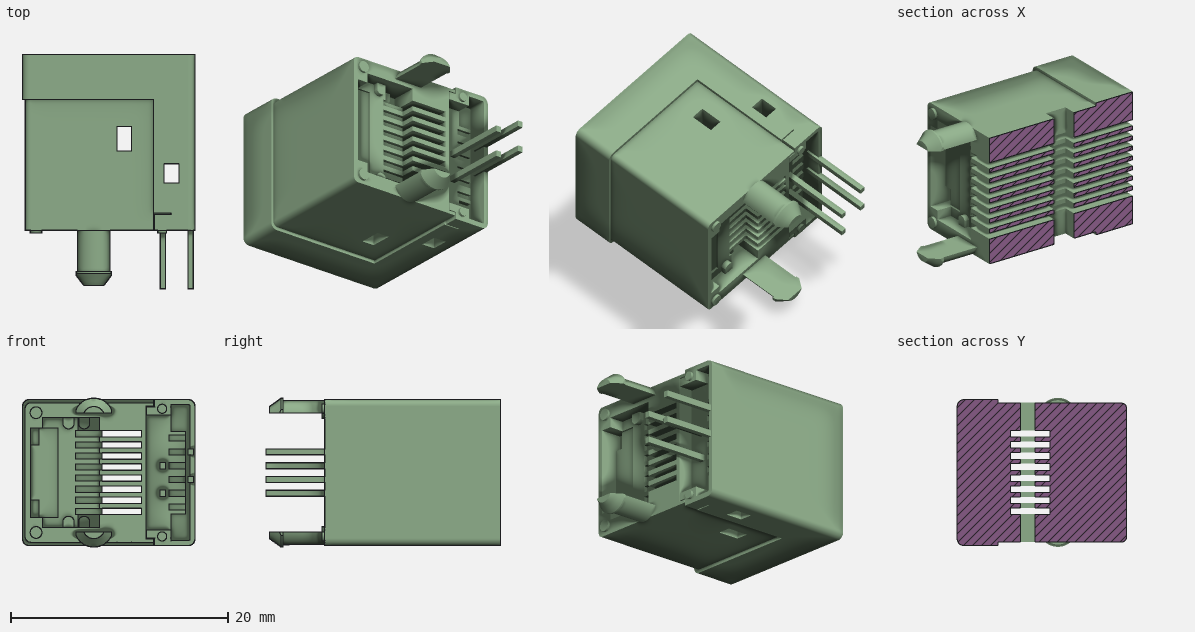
import cadquery as cq


body_width = 15.88
body_thickness = 13.46
body_depth = 16.2
body_corner_radius = 0.635
step_side_inset = 0.25
step_face_inset = 0.32
step_corner_radius = 0.5
collar_start_y = 12.03
step_right_x = 4.13
left_x = -body_width / 2
half_thickness = body_thickness / 2

recess_floor_y = 1.5
side_recess_floor_y = 2.0

slot_height = 0.57

left_recess_min_x = -6.10
left_recess_max_x = -0.83
left_recess_half_z = 5.06
lead_recess_min_x = -7.22
lead_recess_max_x = -4.66
lead_recess_half_z = 4.12
lead_recess_extra = 0.2
corner_pocket_width = 0.81
corner_pocket_height = 1.6
corner_pocket_extra = 0.5

contact_count = 8
contact_pitch = 1.02
contact_min_x = -3.08
contact_max_x = 3.00
contact_through_min_x = -0.60
contact_slot_floor_y = 1.85
contact_top_z = (contact_count - 1) / 2 * contact_pitch + slot_height / 2

end_pocket_min_x = -2.83
end_pocket_floor_y = 2.7
stud_width = 0.98
stud_length = 1.04
stud_height = 0.5
stud_arc_rise = 0.34
outer_stud_x = -3.70
inner_stud_x = -2.26

right_recess_min_x = 3.41
right_recess_half_z = 5.29
side_recess_min_x = 5.72
side_recess_max_x = 7.48
side_recess_half_z = 6.25
side_recess_corner_radius = 0.15
ledge_max_x = 7.08
ledge_half_z = 3.79
ledge_slot_min_x = 5.55
ledge_slot_count = 6
ledge_slot_pitch = 1.27
ledge_slot_floor_y = 1.8

latch_gap = 0.08
latch_shoulder_z = 6.03
latch_slit_y = 1.47
latch_slit_width = 0.12
latch_slit_max_x = 5.75

windows = [(0.78, 2.08, 7.31, 9.55), (5.10, 6.45, 4.37, 6.12)]

buttons = [(-6.69, 5.51, 0.54), (4.91, 5.87, 0.42)]
button_height = 0.25

peg_x = -1.375
peg_center_z = 5.08
peg_flat_z = 5.46
peg_shaft_radius = 1.56
peg_collar_radius = 1.78
peg_tip_radius = 1.0
peg_half_width = 1.63
peg_shaft_length = 3.81
peg_collar_length = 0.18
peg_length = 5.08

pin_width = 0.52
pin_height = 0.57
pin_pitch = 1.27
pin_count = 4
pin_end_y = -5.39
inner_pin_x = 4.98
outer_pin_x = 7.53
inner_pin_root_y = recess_floor_y
outer_pin_root_y = 1.3


def box(x_range, y_range, z_range):
    """Axis-aligned box given as three (min, max) pairs."""
    (x0, x1), (y0, y1), (z0, z1) = x_range, y_range, z_range
    return cq.Workplane("XY").box(x1 - x0, y1 - y0, z1 - z0, centered=False).translate((x0, y0, z0))


def symmetric_box(x_range, y_range, half_z):
    return box(x_range, y_range, (-half_z, half_z))


def cylinder(x, z, radius, y_start, y_end):
    """Cylinder along Y between two Y positions, y_start above y_end."""
    plane = cq.Workplane("XZ", origin=(x, y_start, z))
    return plane.circle(radius).extrude(y_start - y_end)


def both_ends(solid):
    """The solid together with its mirror image across Z = 0."""
    return solid.union(solid.mirror("XY"))


def spread(count, pitch):
    """Positions of count items at a pitch, centred on zero."""
    return [(i - (count - 1) / 2) * pitch for i in range(count)]


def make_housing():
    """Rounded block, relieved in front of the collar on three sides."""
    full = symmetric_box((left_x, -left_x), (0, body_depth), half_thickness)
    full = full.edges("|Y").fillet(body_corner_radius)
    step_left_x = left_x + step_side_inset
    beyond_right = body_width
    stepped = symmetric_box(
        (step_left_x, beyond_right), (0, collar_start_y), half_thickness - step_face_inset
    )
    stepped = stepped.edges("|Y and <X").fillet(step_corner_radius)
    keep = stepped.union(symmetric_box((step_right_x, beyond_right), (0, collar_start_y), half_thickness))
    keep = keep.union(symmetric_box((left_x, beyond_right), (collar_start_y, body_depth), half_thickness))
    return full.intersect(keep)


def cut_left_recess(body):
    """Stepped recess on the -X side, with corner pockets and end pockets."""
    floor = recess_floor_y
    lead_floor = floor + lead_recess_extra
    body = body.cut(symmetric_box((left_recess_min_x, left_recess_max_x), (0, floor), left_recess_half_z))
    lead_x_range = (lead_recess_min_x, lead_recess_max_x)
    body = body.cut(symmetric_box(lead_x_range, (0, lead_floor), lead_recess_half_z))
    corner = box(
        (lead_recess_min_x, lead_recess_min_x + corner_pocket_width),
        (0, lead_floor + corner_pocket_extra),
        (lead_recess_half_z - corner_pocket_height, lead_recess_half_z),
    )
    end_pocket = box(
        (end_pocket_min_x, left_recess_max_x),
        (0, end_pocket_floor_y),
        (contact_top_z, left_recess_half_z),
    )
    return body.cut(both_ends(corner)).cut(both_ends(end_pocket))


def cut_contact_slots(body):
    """Slots that start as shallow grooves and open through to the mating face."""
    for z in spread(contact_count, contact_pitch):
        z_range = (z - slot_height / 2, z + slot_height / 2)
        body = body.cut(box((contact_min_x, contact_max_x), (0, contact_slot_floor_y), z_range))
        body = body.cut(box((contact_through_min_x, contact_max_x), (0, body_depth), z_range))
    return body


def make_stud(x, floor_y):
    """Round-nosed stud on a recess floor, growing from the recess end wall."""
    half = stud_width / 2
    nose_z = left_recess_half_z - stud_length
    profile = (
        cq.Workplane("XZ", origin=(x, floor_y, 0))
        .moveTo(-half, left_recess_half_z)
        .lineTo(-half, nose_z + stud_arc_rise)
        .threePointArc((0, nose_z), (half, nose_z + stud_arc_rise))
        .lineTo(half, left_recess_half_z)
        .close()
    )
    return profile.extrude(stud_height)


def cut_right_recess(body):
    """Recess on the +X side with a deeper outer part and a slotted ledge."""
    main = symmetric_box(
        (right_recess_min_x, side_recess_min_x), (0, recess_floor_y), right_recess_half_z
    )
    side = symmetric_box((side_recess_min_x, side_recess_max_x), (0, side_recess_floor_y), side_recess_half_z)
    side = side.edges("|Y and >X").fillet(side_recess_corner_radius)
    ledge_y_range = (recess_floor_y, side_recess_floor_y)
    ledge = symmetric_box((side_recess_min_x, ledge_max_x), ledge_y_range, ledge_half_z)
    body = body.cut(main).cut(side.cut(ledge))
    for z in spread(ledge_slot_count, ledge_slot_pitch):
        z_range = (z - slot_height / 2, z + slot_height / 2)
        body = body.cut(box((ledge_slot_min_x, ledge_max_x), (recess_floor_y, ledge_slot_floor_y), z_range))
    return body


def cut_latches(body):
    """Narrow gaps that free a latch block at each end of the right recess."""
    gap_depth = (0, latch_slit_y + latch_slit_width)
    gap_top_z = latch_shoulder_z + latch_gap
    neck_x = step_right_x + latch_gap
    inner_gap = box(
        (right_recess_min_x, right_recess_min_x + latch_gap), gap_depth, (right_recess_half_z, gap_top_z)
    )
    shoulder_gap = box((right_recess_min_x, neck_x), gap_depth, (latch_shoulder_z, gap_top_z))
    neck_gap = box((step_right_x, neck_x), gap_depth, (latch_shoulder_z, half_thickness))
    slit = box(
        (step_right_x, latch_slit_max_x),
        (latch_slit_y, latch_slit_y + latch_slit_width),
        (latch_shoulder_z, half_thickness),
    )
    return body.cut(both_ends(inner_gap.union(shoulder_gap).union(neck_gap).union(slit)))


def make_peg():
    """Barbed peg at the +Z end, turned about Y and cut flat on its inner side."""
    collar_end = peg_shaft_length + peg_collar_length
    peg = (
        cq.Workplane("XY")
        .moveTo(0, 0)
        .lineTo(peg_shaft_radius, 0)
        .lineTo(peg_shaft_radius, -peg_shaft_length)
        .lineTo(peg_collar_radius, -peg_shaft_length)
        .lineTo(peg_collar_radius, -collar_end)
        .lineTo(peg_tip_radius, -peg_length)
        .lineTo(0, -peg_length)
        .close()
        .revolve(360, (0, 0), (0, 1))
        .translate((peg_x, 0, peg_center_z))
    )
    segment = box(
        (peg_x - peg_half_width, peg_x + peg_half_width),
        (-peg_length, 0),
        (peg_flat_z, peg_center_z + peg_collar_radius),
    )
    return peg.intersect(segment)


def add_pins(body):
    """Two staggered columns of pins, alternating along Z."""
    columns = [(inner_pin_x, inner_pin_root_y), (outer_pin_x, outer_pin_root_y)]
    for i, z in enumerate(spread(pin_count, pin_pitch)):
        x, root_y = columns[i % len(columns)]
        x_range = (x - pin_width / 2, x + pin_width / 2)
        body = body.union(box(x_range, (pin_end_y, root_y), (z - pin_height / 2, z + pin_height / 2)))
    return body


result = make_housing()
result = cut_left_recess(result)
result = cut_contact_slots(result)
result = cut_right_recess(result)
result = cut_latches(result)
for min_x, max_x, min_y, max_y in windows:
    result = result.cut(symmetric_box((min_x, max_x), (min_y, max_y), half_thickness))
result = result.union(both_ends(make_stud(outer_stud_x, recess_floor_y)))
result = result.union(both_ends(make_stud(inner_stud_x, end_pocket_floor_y)))
for button_x, button_z, button_radius in buttons:
    result = result.union(both_ends(cylinder(button_x, button_z, button_radius, 0, -button_height)))
result = result.union(both_ends(make_peg()))
result = add_pins(result)